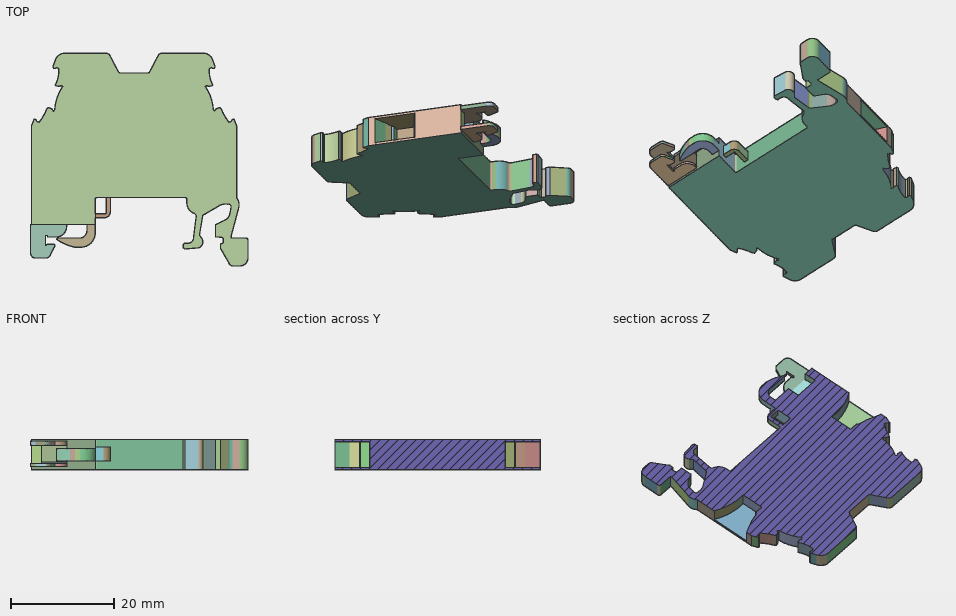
import cadquery as cq


thickness = 5.9
mid_z = thickness / 2
overall_length = 42.25
right_end = 22.15
left_end = right_end - overall_length

wall_x = 19.95
top_y = 28.05
foot_bottom_y = -13.25
foot_shelf_y = -7.8
foot_lower_radius = 1.6
foot_upper_radius = 0.42

notch_depth = 3.8
notch_floor_half_width = 2.9
notch_top_half_width = 4.9
notch_floor_y = top_y - notch_depth
notch_floor_radius = 0.25
notch_top_radius = 0.9

recess_left_x = -7.5
recess_right_x = 10.22
recess_radius = 0.25
leg_bottom_y = -5.25

window_bottom_z = 0.45
window_top_z = thickness - window_bottom_z
window_upper_y = 12.6
window_lower_y = 4.35
bore_upper_y = 10.6
bore_lower_y = 5.9
funnel_depth = 5.03
bore_depth = 6.75

lower_plate_z = (0.65, 1.25)
upper_plate_z = (4.77, 5.58)
plate_right_x = -13.05
plate_bottom_y = -11.75
plate_corner_radius = 1.05
plate_arm_y = -7.65
plate_arm_radius = 2.05
slot_x = -17.15
slot_floor_y = -9.0
slot_relief_width = 0.35
slot_relief_height = 0.3
pocket_left_x = -17.9
pocket_depth = 2.55
pocket_floor_rise = 0.3

tongue_z = (1.75, 4.15)
bracket_z = (1.75, 4.48)
bracket_outer_x = -4.55
bracket_outer_y = -3.95
bracket_wall = 0.85
bracket_outer_radius = 1.25
bracket_inner_radius = 0.13


def prism(outline, z_range):
    """Close an outline and extrude it between two Z levels."""
    bottom, top = z_range
    return outline.close().extrude(top - bottom).translate((0, 0, bottom))


def quarter(center, radius, x_sign, y_sign):
    """Middle point of a quarter circle lying towards the given X and Y signs."""
    reach = radius * 0.5 ** 0.5
    return (center[0] + x_sign * reach, center[1] + y_sign * reach)


def mirrored_pair(right_half):
    return right_half.union(right_half.mirror("YZ"))


full_z = (0, thickness)


def upper_housing():
    outline = (
        cq.Workplane("XY")
        .moveTo(0, 0)
        .lineTo(0, notch_floor_y)
        .lineTo(notch_floor_half_width, notch_floor_y)
        .lineTo(notch_top_half_width, top_y)
        .lineTo(13.75, top_y)
        .threePointArc((14.7, 27.6), (15.3, 26.7))
        .lineTo(15.75, 25.48)
        .lineTo(15.65, 25.1)
        .lineTo(15.3, 25.05)
        .lineTo(15.05, 25.22)
        .lineTo(14.6, 25.05)
        .threePointArc((14.75, 23.4), (15.3, 21.9))
        .lineTo(15.13, 21.67)
        .lineTo(14.45, 21.6)
        .lineTo(14.2, 21.75)
        .lineTo(13.85, 21.6)
        .threePointArc((14.9, 19.5), (15.42, 17.05))
        .lineTo(15.65, 16.8)
        .lineTo(15.93, 17.3)
        .lineTo(16.7, 17.55)
        .lineTo(16.95, 17.25)
        .threePointArc((17.6, 15.85), (18.4, 14.65))
        .lineTo(18.85, 14.85)
        .lineTo(19.05, 15.2)
        .lineTo(19.4, 15.3)
        .lineTo(wall_x, 13.95)
        .lineTo(wall_x, 0)
    )
    housing = mirrored_pair(prism(outline, full_z))
    notch_corners = (
        (notch_floor_half_width, notch_floor_y, notch_floor_radius),
        (notch_top_half_width, top_y, notch_top_radius),
    )
    for x, y, radius in notch_corners:
        for side in (-1, 1):
            corner = cq.selectors.NearestToPointSelector((side * x, y, mid_z))
            housing = housing.edges(corner).fillet(radius)
    return housing


def left_leg():
    arc_center = (recess_left_x + recess_radius, -recess_radius)
    outline = (
        cq.Workplane("XY")
        .moveTo(-wall_x, 0)
        .lineTo(-wall_x, leg_bottom_y)
        .lineTo(recess_left_x, leg_bottom_y)
        .lineTo(recess_left_x, -recess_radius)
        .threePointArc(quarter(arc_center, recess_radius, -1, 1), (arc_center[0], 0))
    )
    return prism(outline, full_z)


def right_foot():
    arc_center = (recess_right_x - recess_radius, -recess_radius)
    lower_center = (right_end - foot_lower_radius, foot_bottom_y + foot_lower_radius)
    upper_center = (right_end - foot_upper_radius, foot_shelf_y - foot_upper_radius)
    outline = (
        cq.Workplane("XY")
        .moveTo(arc_center[0], 0)
        .threePointArc(quarter(arc_center, recess_radius, 1, 1), (recess_right_x, -recess_radius))
        .lineTo(recess_right_x, -1.1)
        .threePointArc((10.65, -2.3), (11.6, -3.05))
        .threePointArc((11.9, -3.25), (12.05, -3.65))
        .lineTo(11.55, -7.65)
        .threePointArc((11.25, -8.5), (10.5, -8.85))
        .lineTo(9.8, -8.85)
        .lineTo(9.55, -9.05)
        .lineTo(9.55, -9.75)
        .lineTo(9.9, -9.95)
        .lineTo(12.5, -9.75)
        .threePointArc((13.25, -9.1), (13.22, -7.95))
        .lineTo(12.7, -7.25)
        .lineTo(13.3, -3.7)
        .threePointArc((13.45, -3.4), (13.75, -3.2))
        .lineTo(16.35, -1.7)
        .threePointArc((17.2, -1.3), (18.15, -1.25))
        .threePointArc((18.67, -1.4), (18.8, -1.85))
        .lineTo(18.55, -3.25)
        .threePointArc((18.15, -3.95), (17.58, -4.35))
        .lineTo(15.8, -5.25)
        .lineTo(15.8, -7.65)
        .lineTo(17.03, -7.7)
        .lineTo(17.3, -7.9)
        .lineTo(17.3, -8.75)
        .lineTo(16.77, -9.0)
        .lineTo(16.77, -9.85)
        .lineTo(18.38, -12.65)
        .threePointArc((18.7, -13.1), (19.2, foot_bottom_y))
        .lineTo(lower_center[0], foot_bottom_y)
        .threePointArc(quarter(lower_center, foot_lower_radius, 1, -1), (right_end, lower_center[1]))
        .lineTo(right_end, upper_center[1])
        .threePointArc(quarter(upper_center, foot_upper_radius, 1, 1), (upper_center[0], foot_shelf_y))
        .lineTo(18.85, foot_shelf_y)
        .lineTo(18.93, -7.22)
        .lineTo(20.35, -1.85)
        .threePointArc((20.35, -0.9), (wall_x, 0))
    )
    return prism(outline, full_z)


def wire_entries():
    funnel_end_x = wall_x - funnel_depth
    bore_end_x = wall_x - bore_depth
    outline = (
        cq.Workplane("XY")
        .moveTo(wall_x, window_upper_y)
        .lineTo(17.05, 11.4)
        .lineTo(15.15, 10.95)
        .lineTo(funnel_end_x, bore_upper_y)
        .lineTo(bore_end_x, bore_upper_y)
        .lineTo(bore_end_x, bore_lower_y)
        .lineTo(funnel_end_x, bore_lower_y)
        .threePointArc((17.6, 5.35), (wall_x, window_lower_y))
    )
    return mirrored_pair(prism(outline, (window_bottom_z, window_top_z)))


def clip_plate(z_range):
    corner_center = (left_end + plate_corner_radius, plate_bottom_y + plate_corner_radius)
    arm_center = (plate_right_x - plate_arm_radius, plate_arm_y + plate_arm_radius)
    relief_x = slot_x + slot_relief_width
    outline = (
        cq.Workplane("XY")
        .moveTo(left_end, leg_bottom_y)
        .lineTo(plate_right_x, leg_bottom_y)
        .lineTo(plate_right_x, arm_center[1])
        .threePointArc(quarter(arm_center, plate_arm_radius, 1, -1), (arm_center[0], plate_arm_y))
        .lineTo(relief_x, plate_arm_y)
        .lineTo(relief_x, plate_arm_y + slot_relief_height)
        .lineTo(slot_x, plate_arm_y + slot_relief_height)
        .lineTo(slot_x, slot_floor_y - slot_relief_height)
        .lineTo(relief_x, slot_floor_y)
        .lineTo(-15.7, slot_floor_y)
        .threePointArc((-15.42, -9.13), (-15.4, -9.45))
        .lineTo(-16.15, -10.9)
        .threePointArc((-16.48, -11.5), (-17.05, plate_bottom_y))
        .lineTo(corner_center[0], plate_bottom_y)
        .threePointArc(quarter(corner_center, plate_corner_radius, -1, -1), (left_end, corner_center[1]))
    )
    return prism(outline, z_range)


def clip_pocket():
    floor_z = lower_plate_z[1]
    ceiling_z = upper_plate_z[0]
    inner_y = leg_bottom_y + pocket_depth
    return (
        cq.Workplane("YZ", origin=(pocket_left_x, 0, 0))
        .moveTo(leg_bottom_y, floor_z)
        .lineTo(inner_y, floor_z + pocket_floor_rise)
        .lineTo(inner_y, ceiling_z)
        .lineTo(leg_bottom_y, ceiling_z)
        .close()
        .extrude(plate_right_x - pocket_left_x)
    )


def spring_tongue():
    outline = (
        cq.Workplane("XY")
        .moveTo(recess_left_x, leg_bottom_y)
        .lineTo(recess_left_x, -7.1)
        .threePointArc((-8.32, -8.8), (-10.48, -9.65))
        .lineTo(-11.45, -9.65)
        .lineTo(-12.42, -9.4)
        .threePointArc((-13.8, -8.85), (-15.05, -8.05))
        .lineTo(-14.87, -7.8)
        .lineTo(-10.48, -7.8)
        .threePointArc((-9.55, -7.35), (-9.15, -6.42))
        .lineTo(-9.15, leg_bottom_y)
    )
    return prism(outline, tongue_z)


def angle_bracket():
    inner_x = bracket_outer_x - bracket_wall
    inner_y = bracket_outer_y + bracket_wall
    outer_center = (bracket_outer_x - bracket_outer_radius, bracket_outer_y + bracket_outer_radius)
    outer_arc_middle = quarter(outer_center, bracket_outer_radius, 1, -1)
    inner_center = (inner_x - bracket_inner_radius, inner_y + bracket_inner_radius)
    outline = (
        cq.Workplane("XY")
        .moveTo(recess_left_x, bracket_outer_y)
        .lineTo(outer_center[0], bracket_outer_y)
        .threePointArc(outer_arc_middle, (bracket_outer_x, outer_center[1]))
        .lineTo(bracket_outer_x, 0)
        .lineTo(inner_x, 0)
        .lineTo(inner_x, inner_center[1])
        .threePointArc(quarter(inner_center, bracket_inner_radius, 1, -1), (inner_center[0], inner_y))
        .lineTo(recess_left_x, inner_y)
    )
    return prism(outline, bracket_z)


housing = upper_housing().union(left_leg()).union(right_foot())
housing = housing.cut(wire_entries()).cut(clip_pocket())

result = (
    housing
    .union(clip_plate(lower_plate_z))
    .union(clip_plate(upper_plate_z))
    .union(spring_tongue())
    .union(angle_bracket())
    .clean()
)